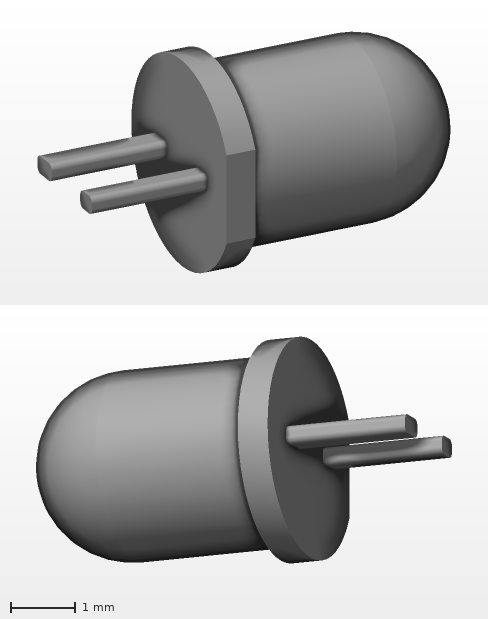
import cadquery as cq

total_length = 6.5
lead_length = 2.0
flange_thickness = 0.5
flange_radius = 1.75
flat_offset = 1.58
lens_radius = 1.5

lead_height = 0.3
lead_corner_radius = 0.1
wide_lead_width = 0.5
wide_lead_x = -0.75
narrow_lead_width = 0.41
narrow_lead_x = 0.7

dome_tip_y = total_length - lead_length
dome_base_y = dome_tip_y - lens_radius


def make_flange():
    """Disc with a flat cut on its +X side."""
    disc = cq.Workplane("XZ").circle(flange_radius).extrude(-flange_thickness)
    kept_width = flange_radius + flat_offset
    kept_side = cq.Workplane("XY").box(
        kept_width, flange_thickness, 2 * flange_radius, centered=(False, False, True)
    ).translate((-flange_radius, 0, 0))
    return disc.intersect(kept_side)


def make_lens():
    """Cylinder ending in a hemispherical dome, revolved about the Y axis."""
    dome_mid = lens_radius * 0.5 ** 0.5
    return (
        cq.Workplane("XY")
        .lineTo(lens_radius, 0)
        .lineTo(lens_radius, dome_base_y)
        .threePointArc((dome_mid, dome_base_y + dome_mid), (0, dome_tip_y))
        .close()
        .revolve(360, (0, 0, 0), (0, 1, 0))
    )


def make_lead(x, width):
    """Rectangular lead with rounded long edges."""
    return (
        cq.Workplane("XZ")
        .center(x, 0)
        .rect(width, lead_height)
        .extrude(lead_length)
        .edges("|Y")
        .fillet(lead_corner_radius)
    )


result = make_flange().union(make_lens())
for lead_x, lead_width in (
    (wide_lead_x, wide_lead_width),
    (narrow_lead_x, narrow_lead_width),
):
    result = result.union(make_lead(lead_x, lead_width))